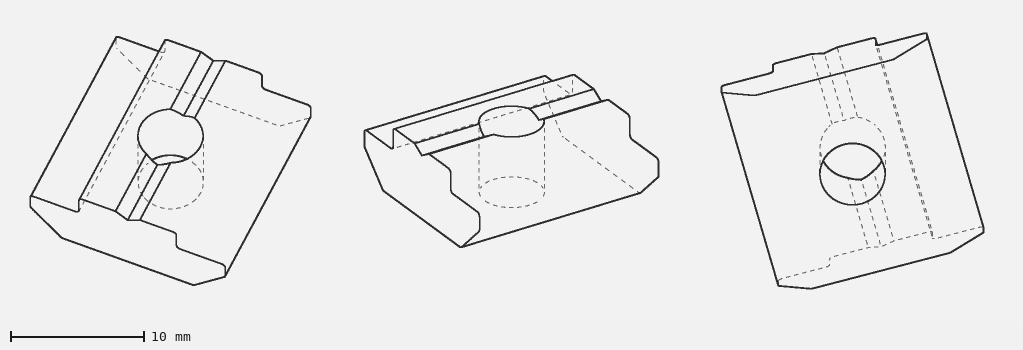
import cadquery as cq
import math

width = 16.0
length = 16.0
height = 6.0

neck_width = width / 2
shoulder_height = 4.1
bevel = 2.6
edge_radius = 0.32

groove_width = 2.0
groove_slope = math.radians(30)
groove_depth = groove_width / 2 * math.tan(groove_slope)

hole_diameter = 4.9


def make_body():
    """Extrude the T-shaped section along Y and round its long edges."""
    half_width = width / 2
    half_neck = neck_width / 2
    right_side = [
        (half_width - bevel, 0),
        (half_width, bevel),
        (half_width, shoulder_height),
        (half_neck, shoulder_height),
        (half_neck, height),
    ]
    left_side = [(-x, z) for x, z in reversed(right_side)]
    section = cq.Workplane("XZ").polyline(right_side + left_side).close()
    return section.extrude(length / 2, both=True).edges("|Y").fillet(edge_radius)


def make_groove():
    """V-shaped cutter with its open side on the top face."""
    half_groove = groove_width / 2
    corners = [(-half_groove, height), (0, height - groove_depth), (half_groove, height)]
    return cq.Workplane("XZ").polyline(corners).close().extrude(length / 2, both=True)


def make_hole():
    """Vertical through hole at the centre of the block."""
    return cq.Workplane("XY").circle(hole_diameter / 2).extrude(height)


result = make_body().cut(make_groove()).cut(make_hole())